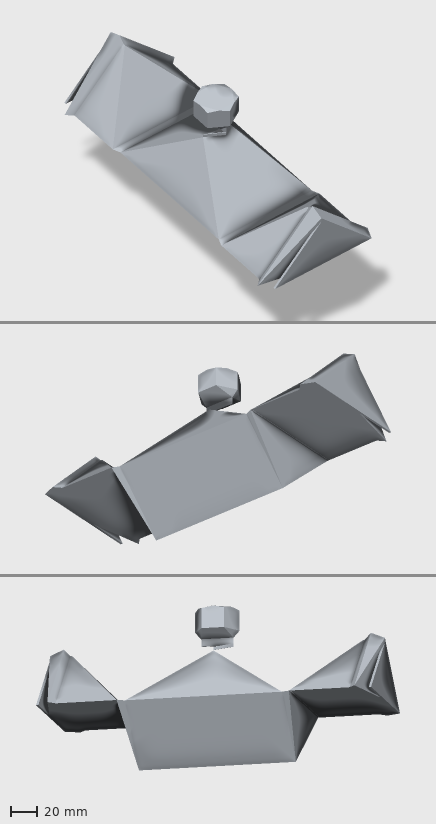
import cadquery as cq
import math

overall_length = 262.0
overall_width = 105.5
overall_height = 121.8

half_length = overall_length / 2
bead_crest_x = 120.0
bead_foot_x = 115.0
socket_start_x = 113.5
socket_end_x = 67.3
pipe_half_length = 61.3
bead_crest_radius = overall_width / 2
bead_lip_radius = 48.2
bead_foot_radius = 47.5
socket_radius = 47.2
pipe_diameter = 89.3
pipe_radius = pipe_diameter / 2

web_thickness = 0.3
web_overlap = 1.3

disc_radius = 44.5
disc_thickness = 1.8

ridge_half_width = 12.5
ridge_height = 42.7

hex_sides = 6
hex_across_flats = 30.0
hex_corner_radius = hex_across_flats / math.sqrt(3)
hex_bottom = 60.0
hex_corner_top = 75.7
hex_top = overall_height - pipe_radius
stem_half_width = 12.5
stem_top = 54.8
stem_bottom = 49.0
stem_thickness = 0.5
stem_overlap = 0.8
stem_core_half_width = 11.0
stem_core_thickness = 1.0
brace_start_height = 45.5
brace_depth = 2.5


def polyhedron(faces):
    """Solid bounded by flat faces, each given as its corner points in order."""
    sides = [cq.Face.makeFromWires(cq.Wire.makePolygon(face, close=True)) for face in faces]
    return cq.Workplane(cq.Solid.makeSolid(cq.Shell.makeShell(sides)).fix())


def section(x, radius):
    """Corners of the upper half of a square section standing on its diagonal."""
    return [cq.Vector(x, radius, 0), cq.Vector(x, 0, radius), cq.Vector(x, -radius, 0)]


def bridge(start, end):
    """Solid between two polygons with the same number of corners."""
    count = len(start)
    sides = []
    for i in range(count):
        j = (i + 1) % count
        sides += [[start[i], start[j], end[j]], [start[i], end[j], end[i]]]
    return polyhedron([start, end] + sides)


def pyramid(base, apex):
    """Solid between a base polygon and one point."""
    sides = [[base[i - 1], base[i], apex] for i in range(len(base))]
    return polyhedron([base] + sides)


def bead_lip():
    """Outer slope of the bead; its -Y side is cut back from the axis to the crest."""
    left, top, right = section(-bead_crest_x, bead_crest_radius)
    lip_left, lip_top, _ = section(-half_length, bead_lip_radius)
    axis = cq.Vector(-half_length, 0, 0)
    return polyhedron([
        [left, top, right],
        [lip_left, lip_top, axis],
        [lip_left, lip_top, top],
        [lip_left, top, left],
        [lip_top, top, right],
        [lip_top, right, axis],
        [axis, right, left],
        [axis, left, lip_left],
    ])


def socket():
    """Socket on the -X side: beaded end, slightly tapered seat and a roof sloping down to the pipe."""
    bead_back = bridge(
        section(-bead_crest_x, bead_crest_radius), section(-bead_foot_x, bead_foot_radius)
    )
    seat_end = section(-socket_start_x, socket_radius)
    seat = bridge(section(-bead_foot_x, bead_foot_radius), seat_end)
    rim_left = cq.Vector(-socket_end_x, socket_radius, 0)
    rim_right = cq.Vector(-socket_end_x, -socket_radius, 0)
    roof = pyramid([seat_end[0], rim_left, rim_right, seat_end[2]], seat_end[1])
    return bead_lip().union(bead_back).union(seat).union(roof).cut(end_disc())


def neck():
    """Lower transition from the -X socket to the pipe, with the sheet that ties them together."""
    base = [
        cq.Vector(-socket_end_x, socket_radius, 0),
        cq.Vector(-socket_end_x, -socket_radius, 0),
        cq.Vector(-pipe_half_length, -pipe_radius, 0),
        cq.Vector(-pipe_half_length, pipe_radius, 0),
    ]
    cone = pyramid(base, cq.Vector(-pipe_half_length, 0, -pipe_radius))
    web_length = web_overlap + socket_end_x - pipe_half_length
    web = (
        cq.Workplane("XY")
        .center(-pipe_half_length - web_length / 2, 0)
        .rect(web_length, 2 * pipe_radius)
        .extrude(-web_thickness)
    )
    return cone.union(web)


def pipe():
    """Middle of the run: a V-shaped lower half and a hipped saddle rising to the branch."""
    lower = (
        cq.Workplane("YZ")
        .polyline([(pipe_radius, 0), (0, -pipe_radius), (-pipe_radius, 0)])
        .close()
        .extrude(pipe_half_length, both=True)
    )
    back_left = cq.Vector(-pipe_half_length, pipe_radius, 0)
    back_right = cq.Vector(pipe_half_length, pipe_radius, 0)
    front_right = cq.Vector(pipe_half_length, -pipe_radius, 0)
    front_left = cq.Vector(-pipe_half_length, -pipe_radius, 0)
    ridge_back = cq.Vector(0, ridge_half_width, ridge_height)
    ridge_front = cq.Vector(0, -ridge_half_width, ridge_height)
    saddle = polyhedron([
        [back_left, back_right, front_right, front_left],
        [back_left, back_right, ridge_back],
        [front_left, front_right, ridge_front],
        [back_left, front_left, ridge_front, ridge_back],
        [back_right, front_right, ridge_front, ridge_back],
    ])
    return lower.union(saddle)


def fitting_body():
    """Pipe with a neck and a socket at each end."""
    end = socket().union(neck())
    return pipe().union(end).union(end.mirror("YZ"))


def end_disc():
    """Thin closing disc in the -X end."""
    outer = section(-half_length, disc_radius)
    inner = section(disc_thickness - half_length, disc_radius)
    return bridge(outer, inner)


def hexagon_points(radius, z, first_angle):
    """Six points evenly spaced on a circle."""
    angles = [math.radians(first_angle + 360 / hex_sides * i) for i in range(hex_sides)]
    return [cq.Vector(radius * math.cos(a), radius * math.sin(a), z) for a in angles]


def hex_head():
    """Hexagonal prism whose top corners slope down from the middles of the flats."""
    bottoms = hexagon_points(hex_corner_radius, hex_bottom, 0)
    corners = hexagon_points(hex_corner_radius, hex_corner_top, 0)
    middles = hexagon_points(hex_across_flats / 2, hex_top, 180 / hex_sides)
    faces = [bottoms, middles]
    for i in range(hex_sides):
        faces.append([middles[i - 1], corners[i], middles[i]])
        faces.append([bottoms[i - 1], bottoms[i], corners[i], middles[i - 1], corners[i - 1]])
    return polyhedron(faces)


def hex_taper():
    """Taper from the hexagon down to the top edge of the stem."""
    right, back_right, back_left, left, front_left, front_right = hexagon_points(
        hex_corner_radius, hex_bottom, 0
    )
    stem_left = cq.Vector(-stem_half_width, 0, stem_top)
    stem_right = cq.Vector(stem_half_width, 0, stem_top)
    return polyhedron([
        [right, back_right, back_left, left, front_left, front_right],
        [back_left, back_right, stem_right, stem_left],
        [front_left, front_right, stem_right, stem_left],
        [back_right, right, stem_right],
        [front_right, right, stem_right],
        [back_left, left, stem_left],
        [front_left, left, stem_left],
    ])


def stem():
    """Flat stem under the taper, a little thicker between its two edges."""
    blade = (
        cq.Workplane("XZ")
        .polyline([
            (-stem_half_width, stem_bottom),
            (stem_half_width, stem_bottom),
            (stem_half_width, stem_top),
            (stem_half_width - stem_overlap, stem_top + stem_overlap),
            (stem_overlap - stem_half_width, stem_top + stem_overlap),
            (-stem_half_width, stem_top),
        ])
        .close()
        .extrude(stem_thickness / 2, both=True)
    )
    core = (
        cq.Workplane("XY", origin=(0, 0, stem_bottom))
        .rect(2 * stem_core_half_width, stem_core_thickness)
        .extrude(stem_top - stem_bottom)
    )
    return blade.union(core)


def brace():
    """Slanted strip from the +X end of the stem down to the -Y end of the saddle ridge."""
    run = math.hypot(stem_half_width, ridge_half_width)
    strip_plane = cq.Plane(
        origin=(0, -ridge_half_width, 0),
        xDir=(stem_half_width, ridge_half_width, 0),
        normal=(ridge_half_width, -stem_half_width, 0),
    )
    return (
        cq.Workplane(strip_plane)
        .polyline([
            (0, brace_start_height),
            (0, brace_start_height - brace_depth),
            (run, stem_bottom - brace_depth / 2),
            (run, stem_bottom + brace_depth / 2),
        ])
        .close()
        .extrude(stem_thickness / 2, both=True)
    )


def hex_plug():
    """Hexagonal plug standing above the saddle."""
    return hex_head().union(hex_taper()).union(stem()).union(brace())


body = fitting_body()
plug = hex_plug()
left_disc = end_disc()
discs = [left_disc, left_disc.mirror("YZ")]

result = cq.Compound.makeCompound([
    body.solids().val(),
    plug.solids().val(),
    *[disc.val() for disc in discs],
])